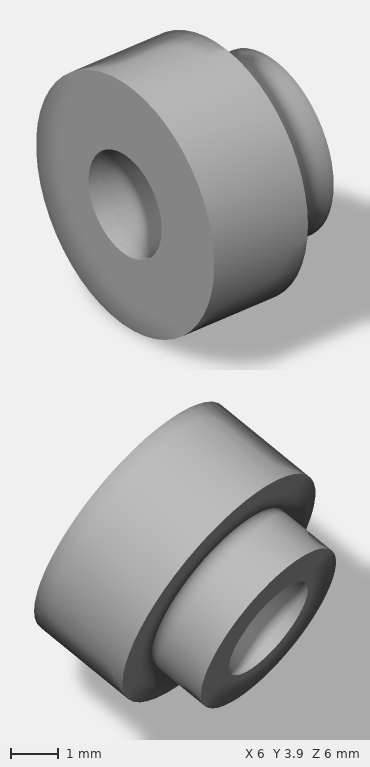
import cadquery as cq

flange_diameter = 6.0
flange_length = 2.5
overall_length = 3.9
boss_diameter = 4.2
boss_length = overall_length - flange_length
bore_diameter = 2.46


def cylinder_along_y(diameter, length, start_y):
    """Solid cylinder on the Y axis, running from start_y toward +Y."""
    return cq.Workplane("XZ").workplane(offset=-start_y).circle(diameter / 2).extrude(-length)


flange = cylinder_along_y(flange_diameter, flange_length, 0)
boss = cylinder_along_y(boss_diameter, boss_length, flange_length)

bore = cylinder_along_y(bore_diameter, overall_length, 0)

result = flange.union(boss).cut(bore)